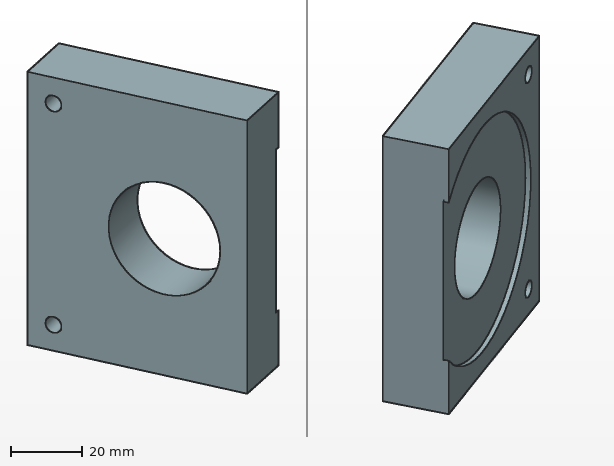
import cadquery as cq

width = 69.0
thickness = 20.0
height = 86.0

axis_x = height / 2
axis_z = height / 2
bore_diameter = 35.0

recess_diameter = 73.0
recess_depth = 1.6

mounting_hole_diameter = 5.0
mounting_hole_spacing = 69.6


def cylinder_along_y(x, z, diameter, y_start, length):
    """Cylinder centred on (x, z) that runs from y_start towards +Y."""
    return (
        cq.Workplane("XZ", origin=(x, y_start, z))
        .circle(diameter / 2)
        .extrude(-length)
    )


def make_block():
    return cq.Workplane("XY").box(width, thickness, height, centered=False)


def cut_bore(body):
    return body.cut(cylinder_along_y(axis_x, axis_z, bore_diameter, 0, thickness))


def cut_back_recess(body):
    recess_floor_y = thickness - recess_depth
    return body.cut(
        cylinder_along_y(axis_x, axis_z, recess_diameter, recess_floor_y, recess_depth)
    )


def cut_mounting_holes(body):
    half_spacing = mounting_hole_spacing / 2
    hole_x = axis_x - half_spacing
    for hole_z in (axis_z - half_spacing, axis_z + half_spacing):
        body = body.cut(
            cylinder_along_y(hole_x, hole_z, mounting_hole_diameter, 0, thickness)
        )
    return body


result = make_block()
result = cut_bore(result)
result = cut_back_recess(result)
result = cut_mounting_holes(result)